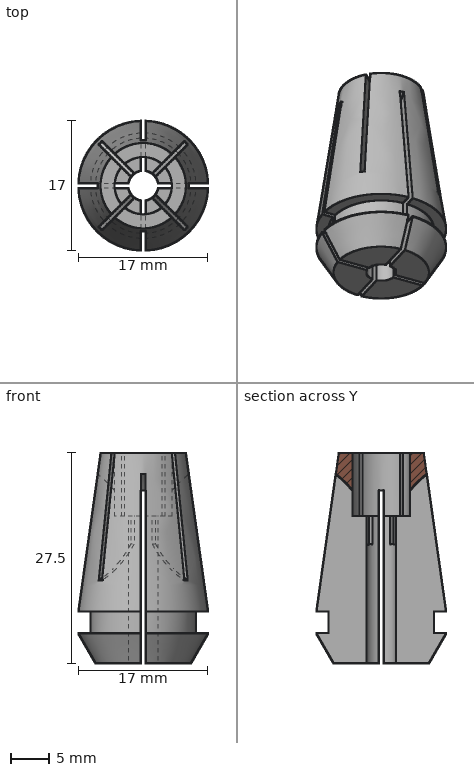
import cadquery as cq
import math

length = 27.5
max_radius = 8.5

front_face_radius = 6.25
flange_height = 4.0
flange_land = 0.08
groove_radius = 6.9
groove_width = 2.78

rear_radius = 5.58
taper_start = flange_height + groove_width

bore_radius = 1.95
rear_bore_radius = 3.75
rear_bore_depth = 8.25

slots_per_end = 4
slot_pitch = 360 / slots_per_end
slot_width = 0.6
saw_radius = 15.8
front_slot_end = 24.75
front_saw_distance = 15.8
rear_slot_end = 10.84
rear_saw_distance = 14.52
slot_reach = max_radius + 0.28
end_overrun = 0.28


def taper_radius(z):
    """Outer radius of the clamping taper at height z."""
    fraction = (z - taper_start) / (length - taper_start)
    return max_radius + fraction * (rear_radius - max_radius)


def make_body():
    """Revolved collet blank with its stepped bore."""
    rear_bore_floor = length - rear_bore_depth
    outline = [
        (bore_radius, 0),
        (front_face_radius, 0),
        (max_radius, flange_height - flange_land),
        (max_radius, flange_height),
        (groove_radius, flange_height),
        (groove_radius, taper_start),
        (max_radius, taper_start),
        (rear_radius, length),
        (rear_bore_radius, length),
        (rear_bore_radius, rear_bore_floor),
        (bore_radius, rear_bore_floor),
    ]
    return cq.Workplane("XZ").polyline(outline).close().revolve(360, (0, 0), (0, 1))


def make_slot(end_height, saw_distance, open_height):
    """One radial slot along +X, from its arc end to the open height."""
    side = 1 if end_height > open_height else -1

    def arc_rise(radius):
        return math.sqrt(saw_radius**2 - (saw_distance - radius) ** 2)

    saw_height = end_height - side * arc_rise(taper_radius(end_height))

    def arc_point(radius):
        return (radius, saw_height + side * arc_rise(radius))

    return (
        cq.Workplane("XZ")
        .moveTo(0, open_height)
        .lineTo(*arc_point(0))
        .threePointArc(arc_point(slot_reach / 2), arc_point(slot_reach))
        .lineTo(slot_reach, open_height)
        .close()
        .extrude(slot_width / 2, both=True)
    )


front_slot = make_slot(front_slot_end, front_saw_distance, -end_overrun)
rear_slot = make_slot(rear_slot_end, rear_saw_distance, length + end_overrun)

result = make_body()
for index in range(slots_per_end):
    front_angle = index * slot_pitch
    rear_angle = front_angle + slot_pitch / 2
    result = result.cut(front_slot.rotate((0, 0, 0), (0, 0, 1), front_angle))
    result = result.cut(rear_slot.rotate((0, 0, 0), (0, 0, 1), rear_angle))